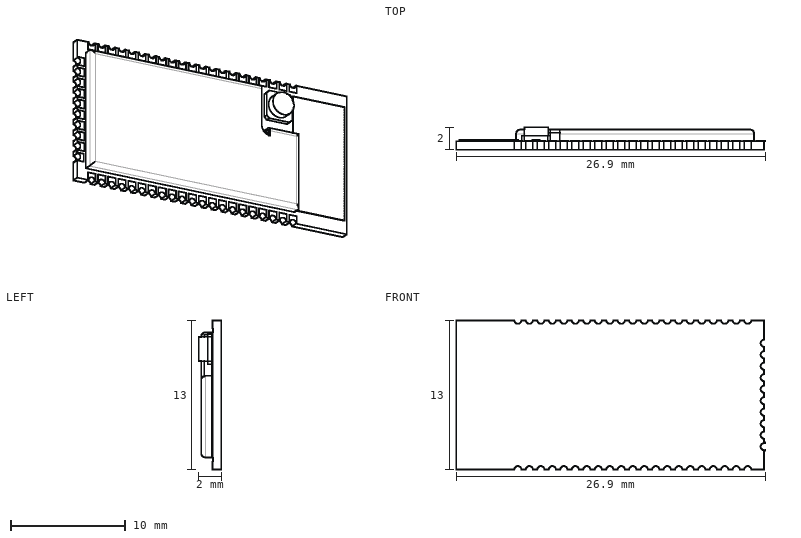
import cadquery as cq


board_length = 26.82
board_width = 13.0
board_thickness = 0.75
overall_height = 2.0

notch_diameter = 0.6
notch_count_long = 21
notch_count_end = 10
notch_first_x = 5.38
notch_last_x = 25.4
notch_pitch = (notch_last_x - notch_first_x) / (notch_count_long - 1)
notch_first_z = (board_width - (notch_count_end - 1) * notch_pitch) / 2

pad_width = 0.75
pad_reach = 0.7
pad_thickness = 0.04
pad_overhang = 0.08

shield_left = 5.22
shield_right = 25.95
shield_margin = 1.05
shield_bottom = shield_margin
shield_top = board_width - shield_margin
shield_height = 1.02
shield_wall = 0.2
shield_roof = 0.27
shield_edge_radius = 0.38

cutout_right = 9.05
cutout_floor = 8.15
relief_radius = 1.7 / 2
cutout_wall_end = cutout_right - relief_radius

antenna_left = 0.27
antenna_bottom = 1.2
antenna_top = 11.9
antenna_thickness = 0.1

connector_x = 6.97
socket_x = 7.0
connector_z = 10.5
connector_base_length = 2.5
connector_base_width = 2.6
connector_base_height = 0.45
connector_base_chamfer = 0.25
connector_diameter = 2.1
connector_height = overall_height - board_thickness
connector_tab_width = 0.65
connector_tab_overhang = 0.08
connector_tab_thickness = 0.1


def block(x_min, x_max, y_min, y_max, z_min, z_max):
    """Rectangular block between the given limits."""
    size = (x_max - x_min, y_max - y_min, z_max - z_min)
    return cq.Workplane("XY").box(*size, centered=False).translate((x_min, y_min, z_min))


def on_board(x_min, x_max, z_min, z_max, height):
    """Rectangular block standing on the component face of the board."""
    return block(x_min, x_max, board_thickness, board_thickness + height, z_min, z_max)


def cylinder(x, z, radius, y_min, y_max):
    """Cylinder along Y between two heights."""
    axis_base = cq.Vector(x, y_min, z)
    return cq.Workplane(cq.Solid.makeCylinder(radius, y_max - y_min, axis_base, cq.Vector(0, 1, 0)))


def points_at(y, centers):
    """Workplane at height y holding the given (x, z) centers."""
    return cq.Workplane("XZ", origin=(0, y, 0)).pushPoints(centers)


def make_board():
    """Board with its pads, cut by the castellation notches."""
    notch_x = [notch_first_x + i * notch_pitch for i in range(notch_count_long)]
    notch_z = [notch_first_z + i * notch_pitch for i in range(notch_count_end)]
    long_edge_notches = [(x, z) for x in notch_x for z in (0, board_width)]
    end_notches = [(board_length, z) for z in notch_z]

    long_edge_pads = [(x, z) for x in notch_x for z in (pad_reach / 2, board_width - pad_reach / 2)]
    end_pad_x = board_length - pad_reach / 2
    end_pads = [(end_pad_x + pad_overhang, notch_z[0])] + [(end_pad_x, z) for z in notch_z[1:]]

    board = block(0, board_length, 0, board_thickness, 0, board_width)
    side_rows = points_at(board_thickness, long_edge_pads).rect(pad_width, pad_reach)
    end_row = points_at(board_thickness, end_pads).rect(pad_reach, pad_width)
    pads = side_rows.extrude(-pad_thickness).union(end_row.extrude(-pad_thickness))
    notches = points_at(0, long_edge_notches + end_notches).circle(notch_diameter / 2)
    return board.union(pads).cut(notches.extrude(-(board_thickness + pad_thickness)))


def make_can_section(x_min, x_max, z_max):
    """Slice of a hollow can that reaches up to z_max, kept between two X limits."""
    shell = on_board(shield_left, shield_right, shield_bottom, z_max, shield_height)
    shell = shell.faces(">Y").edges().fillet(shield_edge_radius)
    cavity = on_board(
        shield_left + shield_wall,
        shield_right - shield_wall,
        shield_bottom + shield_wall,
        z_max - shield_wall,
        shield_height - shield_roof,
    )
    kept = on_board(x_min, x_max, shield_bottom, z_max, shield_height)
    return shell.cut(cavity).intersect(kept)


def make_shield():
    """Hollow can with rounded upper edges and an open corner for the connector."""
    low_section = make_can_section(shield_left, cutout_wall_end, cutout_floor)

    full_section = make_can_section(cutout_wall_end, shield_right, shield_top)
    opening = on_board(cutout_wall_end, cutout_right, cutout_floor, shield_top, shield_height)
    can_top = board_thickness + shield_height
    relief = cylinder(cutout_wall_end, cutout_floor, relief_radius, board_thickness, can_top)
    return low_section.union(full_section.cut(opening).cut(relief))


def make_connector():
    """Chamfered rectangular base with a contact tab and a round socket."""
    half_length = connector_base_length / 2
    half_width = connector_base_width / 2
    base_top = connector_z + half_width
    base = on_board(
        connector_x - half_length,
        connector_x + half_length,
        connector_z - half_width,
        base_top,
        connector_base_height,
    )
    base = base.edges("|Y").chamfer(connector_base_chamfer)
    tab = on_board(
        connector_x - connector_tab_width / 2,
        connector_x + connector_tab_width / 2,
        connector_z,
        base_top + connector_tab_overhang,
        connector_tab_thickness,
    )
    socket = cylinder(
        socket_x,
        connector_z,
        connector_diameter / 2,
        board_thickness,
        board_thickness + connector_height,
    )
    return base.union(tab).union(socket)


antenna = on_board(
    antenna_left,
    shield_left + shield_wall,
    antenna_bottom,
    antenna_top,
    antenna_thickness,
)

result = make_board().union(antenna).union(make_shield()).union(make_connector())